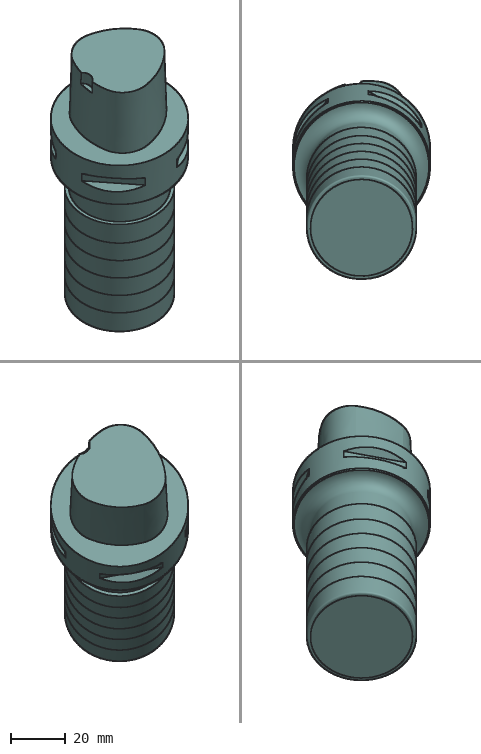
import cadquery as cq
import math

total_length = 119.4
shank_length = 30.0
flange_height = 20.2
flange_top_z = total_length - shank_length
flange_bottom_z = flange_top_z - flange_height

flange_diameter = 50.0
flange_radius = flange_diameter / 2
flange_chamfer = 0.5
neck_diameter = 37.1
neck_radius = neck_diameter / 2
neck_fillet = 5.0

lobe_reach = 18.6
side_reach = 16.4
lobe_radius = 12.0
shank_taper = math.degrees(math.atan(1 / 40))

notch_radius = 3.7
notch_axis_y = -17.4
notch_depth = 5.5

slot_count = 4
slot_center_z = 79.5
slot_floor_height = 3.6
slot_depth = 2.9
slot_flank_angle = 30.0
slot_overshoot = 1.2

ring_outer_radius = 40.0 / 2
ring_count = 6
ring_pitch = 8.8
bottom_ring_height = 9.9
ring_stack_height = 54.7
bottom_edge_round = 0.7


def polar(radius, degrees):
    angle = math.radians(degrees)
    return (radius * math.cos(angle), radius * math.sin(angle))


def lobed_outline():
    """Three lobe arcs joined tangentially by three flatter side arcs."""
    lobe_offset = lobe_reach - lobe_radius
    reach_gap = lobe_reach - side_reach
    side_radius = (
        lobe_offset * side_reach - 2 * reach_gap * lobe_radius + reach_gap**2
    ) / (lobe_offset - 2 * reach_gap)
    half_angle = math.asin(
        lobe_offset * math.sin(math.radians(60)) / (side_radius - lobe_radius)
    )
    joint_x = side_radius * math.sin(half_angle)
    joint_y = side_radius - side_reach - side_radius * math.cos(half_angle)
    joint_radius = math.hypot(joint_x, joint_y)
    joint_angle = math.degrees(math.atan2(joint_x, -joint_y))

    outline = cq.Workplane("XY", origin=(0, 0, flange_top_z))
    outline = outline.moveTo(*polar(joint_radius, -90 - joint_angle))
    for side_direction in (-90, 30, 150):
        lobe_direction = side_direction + 60
        outline = outline.threePointArc(
            polar(side_reach, side_direction), polar(joint_radius, side_direction + joint_angle)
        )
        outline = outline.threePointArc(
            polar(lobe_reach, lobe_direction), polar(joint_radius, lobe_direction + 60 - joint_angle)
        )
    return outline.close()


def make_shank():
    shank = lobed_outline().extrude(shank_length, taper=shank_taper)
    notch = (
        cq.Workplane("XY", origin=(0, notch_axis_y, total_length - notch_depth))
        .circle(notch_radius)
        .extrude(notch_depth)
    )
    return shank.cut(notch)


def make_flange_and_neck():
    fillet_outer_radius = neck_radius + neck_fillet
    fillet_bottom_z = flange_bottom_z - neck_fillet
    fillet_mid = (
        fillet_outer_radius - neck_fillet * math.sqrt(0.5),
        fillet_bottom_z + neck_fillet * math.sqrt(0.5),
    )
    return (
        cq.Workplane("XZ")
        .moveTo(0, 0)
        .lineTo(neck_radius, 0)
        .lineTo(neck_radius, fillet_bottom_z)
        .threePointArc(fillet_mid, (fillet_outer_radius, flange_bottom_z))
        .lineTo(flange_radius - flange_chamfer, flange_bottom_z)
        .lineTo(flange_radius, flange_bottom_z + flange_chamfer)
        .lineTo(flange_radius, flange_top_z)
        .lineTo(0, flange_top_z)
        .close()
        .revolve(360, (0, 0, 0), (0, 1, 0))
    )


def make_slot_cutter():
    """Trapezoidal bar along Y that cuts the +X side of the rim."""
    floor_x = flange_radius - slot_depth
    mouth_x = flange_radius + slot_overshoot
    floor_half = slot_floor_height / 2
    mouth_half = floor_half + (mouth_x - floor_x) * math.tan(math.radians(slot_flank_angle))
    return (
        cq.Workplane("XZ", origin=(0, 0, slot_center_z))
        .moveTo(floor_x, -floor_half)
        .lineTo(mouth_x, -mouth_half)
        .lineTo(mouth_x, mouth_half)
        .lineTo(floor_x, floor_half)
        .close()
        .extrude(flange_radius, both=True)
    )


def make_holder():
    holder = make_flange_and_neck().union(make_shank())
    slot_spacing = 360 / slot_count
    for index in range(slot_count):
        slot_angle = slot_spacing * (index + 0.5)
        holder = holder.cut(make_slot_cutter().rotate((0, 0, 0), (0, 0, 1), slot_angle))
    return holder


def make_ring(bottom_z, top_z):
    return (
        cq.Workplane("XY", origin=(0, 0, bottom_z))
        .circle(ring_outer_radius)
        .circle(neck_radius)
        .extrude(top_z - bottom_z)
    )


def make_cutting_rings():
    joints = [bottom_ring_height + ring_pitch * index for index in range(ring_count - 1)]
    levels = [0, *joints, ring_stack_height]
    rings = []
    for index in range(ring_count):
        ring = make_ring(levels[index], levels[index + 1])
        if index == 0:
            outer_edge = cq.selectors.RadiusNthSelector(-1)
            ring = ring.faces("<Z").edges(outer_edge).fillet(bottom_edge_round)
        rings.append(ring)
    return rings


holder = make_holder()
cutting_rings = make_cutting_rings()

result = cq.Compound.makeCompound([holder.val(), *[ring.val() for ring in cutting_rings]])